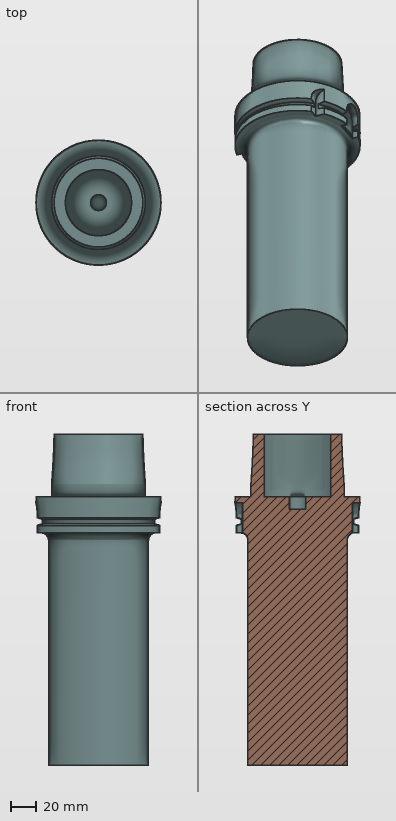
import cadquery as cq
import math

TOTAL_LENGTH = 265.0
TAPER_TOP_Z = 50.0
TAPER_BASE_Z = 10.0
SHANK_BOTTOM_Z = TAPER_TOP_Z - TOTAL_LENGTH

TAPER_TOP_RADIUS = 35.5
TAPER_BASE_RADIUS = 37.5
FLANGE_RADIUS = 50.0
SHANK_RADIUS = 40.0
SHANK_FILLET_RADIUS = 5.8

FLANGE_THICKNESS = 29.0
GROOVE_CENTER_Z = -20.0
GROOVE_MOUTH_WIDTH = 6.4
GROOVE_FLOOR_WIDTH = 3.75
GROOVE_FLOOR_RADIUS = 46.0

BORE_RADIUS = 26.5
BORE_DEPTH = 50.0
CENTER_HOLE_RADIUS = 6.3
CENTER_HOLE_DEPTH = 10.0

SLOT_WIDTH = 20.0
SLOT_TOP_Z = -5.0
DRIVE_SLOT_FLOOR = 44.0
INDEX_NOTCH_FLOOR = 31.2
INDEX_NOTCH_CENTER_X = -41.5


def turned_body():
    """Taper, flange and shank revolved about Z."""
    flange_bottom_z = -FLANGE_THICKNESS
    half_mouth = GROOVE_MOUTH_WIDTH / 2
    half_floor = GROOVE_FLOOR_WIDTH / 2
    fillet_center = (SHANK_RADIUS + SHANK_FILLET_RADIUS, flange_bottom_z - SHANK_FILLET_RADIUS)
    fillet_reach = SHANK_FILLET_RADIUS * math.cos(math.pi / 4)
    fillet_middle = (fillet_center[0] - fillet_reach, fillet_center[1] + fillet_reach)
    return (
        cq.Workplane("YZ")
        .moveTo(0, SHANK_BOTTOM_Z)
        .lineTo(SHANK_RADIUS, SHANK_BOTTOM_Z)
        .lineTo(SHANK_RADIUS, fillet_center[1])
        .threePointArc(fillet_middle, (fillet_center[0], flange_bottom_z))
        .lineTo(FLANGE_RADIUS, flange_bottom_z)
        .lineTo(FLANGE_RADIUS, GROOVE_CENTER_Z - half_mouth)
        .lineTo(GROOVE_FLOOR_RADIUS, GROOVE_CENTER_Z - half_floor)
        .lineTo(GROOVE_FLOOR_RADIUS, GROOVE_CENTER_Z + half_floor)
        .lineTo(FLANGE_RADIUS, GROOVE_CENTER_Z + half_mouth)
        .lineTo(FLANGE_RADIUS, 0)
        .lineTo(TAPER_BASE_RADIUS, 0)
        .lineTo(TAPER_BASE_RADIUS, TAPER_BASE_Z)
        .lineTo(TAPER_TOP_RADIUS, TAPER_TOP_Z)
        .lineTo(0, TAPER_TOP_Z)
        .close()
        .revolve(360, (0, 0, 0), (0, 1, 0))
    )


def axial_bores():
    """Wide blind bore in the taper and the narrow blind hole sunk into its floor."""
    bore_mouth = cq.Workplane("XY", origin=(0, 0, TAPER_TOP_Z))
    bore_floor = cq.Workplane("XY", origin=(0, 0, TAPER_TOP_Z - BORE_DEPTH))
    bore = bore_mouth.circle(BORE_RADIUS).extrude(-BORE_DEPTH)
    hole = bore_floor.circle(CENTER_HOLE_RADIUS).extrude(-CENTER_HOLE_DEPTH)
    return bore.union(hole)


def rim_slot_cutter(floor_distance, side_offset):
    """Cutter facing +Y: flat floor at Y = floor_distance, round upper end, centred on X = side_offset."""
    half_width = SLOT_WIDTH / 2
    arc_center_z = SLOT_TOP_Z - half_width
    return (
        cq.Workplane("XZ", origin=(side_offset, floor_distance, 0))
        .moveTo(-half_width, -FLANGE_THICKNESS)
        .lineTo(-half_width, arc_center_z)
        .threePointArc((0, SLOT_TOP_Z), (half_width, arc_center_z))
        .lineTo(half_width, -FLANGE_THICKNESS)
        .close()
        .extrude(-FLANGE_RADIUS)
    )


def drive_slots():
    """Two opposed slots on the -X and +X sides of the flange."""
    slot = rim_slot_cutter(DRIVE_SLOT_FLOOR, 0)
    slots = cq.Workplane("XY")
    for angle in (90, -90):
        slots = slots.add(slot.rotate((0, 0, 0), (0, 0, 1), angle))
    return slots.combine()


def index_notch():
    """Single off-centre notch in the (-X, +Y) part of the flange."""
    return rim_slot_cutter(INDEX_NOTCH_FLOOR, INDEX_NOTCH_CENTER_X)


result = turned_body().cut(axial_bores()).cut(drive_slots()).cut(index_notch())